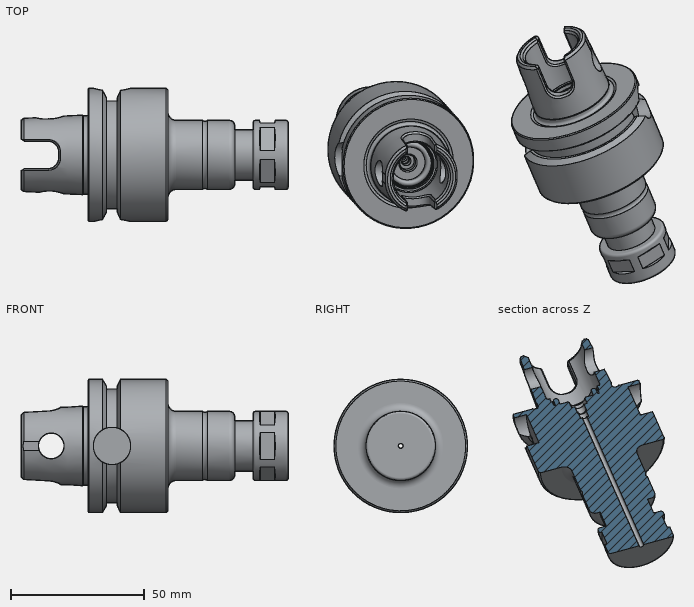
import cadquery as cq
import math


shank_length = 25.0
nose_x = 75.0
body_radius = 25.0

gauge_radius = 14.95
gauge_x = -2.1
taper_slope = 0.05
shank_tip_chamfer = 1.0
shank_tip_chamfer_angle = 40
relief_radius = 14.75
relief_ramp = 0.4
relief_end_x = -0.6

face_relief_outer_radius = 17.1
face_relief_inner_radius = 16.1
face_relief_depth = 0.35
shank_root_fillet = 0.9

flange_edge_chamfer = 0.4
groove_rim_start_x = 5.4
groove_start_x = 7.0
groove_end_x = 10.9
groove_rim_end_x = 12.2
groove_shoulder_radius = 22.4
groove_floor_radius = 21.35
body_end_x = 30.0
body_edge_chamfer = 0.7

barrel_radius = 13.0
barrel_root_fillet = 3.0
barrel_end_x = 55.0
barrel_end_fillet = 2.2
ring_groove_start_x = 42.8
ring_groove_width = 2.0
ring_groove_depth = 0.35
neck_radius = 9.5
nut_start_x = 61.8
nut_radius = 13.0
nut_edge_fillet = 1.0
nut_flat_count = 6
nut_flat_distance = 12.0
nut_flat_start_x = 64.5
nut_flat_end_x = 69.8
nut_flat_cut_height = 2.0
nut_flat_wall_lean = 0.7

bore_radius = 10.5
bore_depth = 22.2
bore_mouth_radius = 12.0
bore_mouth_middle_radius = 11.15
bore_mouth_middle_depth = 0.6
bore_mouth_depth = 1.5
bore_floor_chamfer = 0.4
inner_bore_radius = 9.3
inner_bore_depth = 4.0
inner_bore_step_depth = 2.0
inner_bore_end_radius = 8.9
tube_inner_radius = 6.5
tube_outer_radius = 8.5
tube_length = 3.0
pilot_radius = 3.5
pilot_seat_radius = 3.0
pilot_chamfer = 0.5
pilot_depth = 3.0
jet_seat_radius = 1.75
jet_seat_depth = 3.0
jet_radius = 1.5
jet_depth = 3.0
coolant_radius = 0.85

slot_width = 10.2
slot_depth = 14.0
slot_corner_radius = 4.0
slot_outer_chamfer = 0.7
slot_inner_chamfer = 0.55
slot_mouth_chamfer_length = 1.3
slot_mouth_chamfer_width = 0.8
access_hole_radius = 4.75
access_hole_x = -13.75
relief_hole_radius = 4.65
relief_hole_x = -15.3
tip_flat_width = 3.5
tip_flat_depth = 0.2

pocket_radius = 7.0
pocket_x = 9.0
pocket_floor_y = 20.2


def taper_radius(x):
    """Radius of the taper at a position along the axis."""
    return gauge_radius + taper_slope * (x - gauge_x)


def revolve_profile(sketch):
    """Close a half profile drawn in X (axis) and Y (radius) and turn it about X."""
    return sketch.close().revolve(360, (0, 0, 0), (1, 0, 0))


def make_turned_body():
    """Shank, flange, barrel and neck as one solid of revolution."""
    tip_x = -shank_length
    root_radius = relief_radius + shank_root_fillet
    arc_part = 1 - math.sqrt(0.5)
    root_mid = (
        barrel_root_fillet * arc_part + body_end_x,
        barrel_root_fillet * arc_part + barrel_radius,
    )
    end_mid = (
        barrel_end_x - barrel_end_fillet * arc_part,
        barrel_radius - barrel_end_fillet * arc_part,
    )
    ring_groove_end_x = ring_groove_start_x + ring_groove_width
    sketch = (
        cq.Workplane("XY")
        .moveTo(tip_x, 0)
        .lineTo(tip_x, taper_radius(tip_x))
        .lineTo(gauge_x, gauge_radius)
        .lineTo(gauge_x + relief_ramp, relief_radius)
        .lineTo(relief_end_x, relief_radius)
        .tangentArcPoint((face_relief_depth, root_radius), relative=False)
        .lineTo(face_relief_depth, face_relief_inner_radius)
        .lineTo(0, face_relief_outer_radius)
        .lineTo(0, body_radius - flange_edge_chamfer)
        .lineTo(flange_edge_chamfer, body_radius)
        .lineTo(groove_rim_start_x, body_radius)
        .lineTo(groove_start_x, groove_shoulder_radius)
        .lineTo(groove_start_x, groove_floor_radius)
        .lineTo(groove_end_x, groove_floor_radius)
        .lineTo(groove_end_x, groove_shoulder_radius)
        .lineTo(groove_rim_end_x, body_radius)
        .lineTo(body_end_x - body_edge_chamfer, body_radius)
        .lineTo(body_end_x, body_radius - body_edge_chamfer)
        .lineTo(body_end_x, barrel_radius + barrel_root_fillet)
        .threePointArc(root_mid, (body_end_x + barrel_root_fillet, barrel_radius))
        .lineTo(ring_groove_start_x, barrel_radius)
        .threePointArc(
            (ring_groove_start_x + ring_groove_width / 2, barrel_radius - ring_groove_depth),
            (ring_groove_end_x, barrel_radius),
        )
        .lineTo(barrel_end_x - barrel_end_fillet, barrel_radius)
        .threePointArc(end_mid, (barrel_end_x, barrel_radius - barrel_end_fillet))
        .lineTo(barrel_end_x, neck_radius)
        .lineTo(nut_start_x, neck_radius)
        .lineTo(nut_start_x, 0)
    )
    return revolve_profile(sketch)


def make_nut():
    """Collet nut with six wrench flats whose end walls lean outward."""
    nut = (
        cq.Workplane("YZ", origin=(nut_start_x, 0, 0))
        .circle(nut_radius)
        .extrude(nose_x - nut_start_x)
        .edges()
        .fillet(nut_edge_fillet)
    )
    cut_top = nut_flat_distance + nut_flat_cut_height
    flat_cutter = (
        cq.Workplane("XY", origin=(0, 0, -nut_radius))
        .moveTo(nut_flat_start_x, nut_flat_distance)
        .lineTo(nut_flat_end_x, nut_flat_distance)
        .lineTo(nut_flat_end_x + nut_flat_wall_lean, cut_top)
        .lineTo(nut_flat_start_x - nut_flat_wall_lean, cut_top)
        .close()
        .extrude(2 * nut_radius)
    )
    for index in range(nut_flat_count):
        angle = index * 360 / nut_flat_count
        nut = nut.cut(flat_cutter.rotate((0, 0, 0), (1, 0, 0), angle))
    return nut


def make_shank_bore():
    """Stepped bore of the shank, leaving a round-ended tube standing in its floor."""
    tip_x = -shank_length
    step_x = tip_x + bore_depth
    floor_x = step_x + inner_bore_depth
    tube_wall = tube_outer_radius - tube_inner_radius
    tube_end_x = floor_x - tube_length
    tube_shoulder_x = tube_end_x + tube_wall / 2
    tube_middle_radius = (tube_outer_radius + tube_inner_radius) / 2
    pilot_floor_x = floor_x + pilot_depth
    jet_seat_x = pilot_floor_x + jet_seat_depth
    jet_floor_x = jet_seat_x + jet_depth
    sketch = (
        cq.Workplane("XY")
        .moveTo(tip_x, 0)
        .lineTo(tip_x, bore_radius)
        .lineTo(step_x, bore_radius)
        .lineTo(step_x + bore_floor_chamfer, bore_radius - bore_floor_chamfer)
        .lineTo(step_x + bore_floor_chamfer, inner_bore_radius)
        .lineTo(step_x + inner_bore_step_depth, inner_bore_radius)
        .lineTo(step_x + inner_bore_step_depth, inner_bore_end_radius)
        .lineTo(floor_x, inner_bore_end_radius)
        .lineTo(floor_x, tube_outer_radius)
        .lineTo(tube_shoulder_x, tube_outer_radius)
        .threePointArc((tube_end_x, tube_middle_radius), (tube_shoulder_x, tube_inner_radius))
        .lineTo(floor_x, tube_inner_radius)
        .lineTo(floor_x, pilot_radius)
        .lineTo(floor_x + pilot_chamfer, pilot_seat_radius)
        .lineTo(pilot_floor_x, pilot_seat_radius)
        .lineTo(pilot_floor_x, jet_seat_radius)
        .lineTo(jet_seat_x, jet_seat_radius)
        .lineTo(jet_seat_x, jet_radius)
        .lineTo(jet_floor_x, jet_radius)
        .lineTo(jet_floor_x, coolant_radius)
        .lineTo(nose_x, coolant_radius)
        .lineTo(nose_x, 0)
    )
    return revolve_profile(sketch)


def cut_drive_slots(shank):
    """Slot through both Z sides of the shank tip, chamfered along its inner and outer edges."""
    tip_x = -shank_length
    end_x = tip_x + slot_depth
    slot = (
        cq.Workplane("XY", origin=(tip_x + slot_depth / 2, 0, 0))
        .box(slot_depth, slot_width, 2 * body_radius)
        .edges("|Z and >X")
        .fillet(slot_corner_radius)
    )
    shank = shank.cut(slot)
    margin = 0.2
    for side in (-1, 1):
        for inner_z, outer_z, chamfer in (
            (tube_outer_radius, bore_mouth_radius, slot_inner_chamfer),
            (bore_mouth_radius, body_radius, slot_outer_chamfer),
        ):
            rim_box = cq.selectors.BoxSelector(
                (tip_x + margin, -slot_width, side * inner_z),
                (end_x + margin, slot_width, side * outer_z),
            )
            shank = shank.edges(rim_box).edges("not(|Z)").chamfer(chamfer)
    return shank


def cut_slot_mouths(shank):
    """Bevel the corners where the slot walls meet the shank tip."""
    tip_x = -shank_length
    half_width = slot_width / 2
    mouth = (
        cq.Workplane("XY", origin=(0, 0, -body_radius))
        .moveTo(tip_x, -half_width - slot_mouth_chamfer_width)
        .lineTo(tip_x, half_width + slot_mouth_chamfer_width)
        .lineTo(tip_x + slot_mouth_chamfer_length, half_width)
        .lineTo(tip_x + slot_mouth_chamfer_length, -half_width)
        .close()
        .extrude(2 * body_radius)
    )
    return shank.cut(mouth)


def cut_shank_tip(shank):
    """Chamfer the shank tip outside and open the bore mouth with two cones."""
    tip_x = -shank_length
    chamfer_x = tip_x + shank_tip_chamfer
    chamfer_radius = taper_radius(chamfer_x)
    chamfer_rise = shank_tip_chamfer * math.tan(math.radians(shank_tip_chamfer_angle))
    outer_ring = revolve_profile(
        cq.Workplane("XY")
        .moveTo(tip_x, chamfer_radius - chamfer_rise)
        .lineTo(chamfer_x, chamfer_radius)
        .lineTo(tip_x, chamfer_radius)
    )
    mouth = revolve_profile(
        cq.Workplane("XY")
        .moveTo(tip_x, 0)
        .lineTo(tip_x, bore_mouth_radius)
        .lineTo(tip_x + bore_mouth_middle_depth, bore_mouth_middle_radius)
        .lineTo(tip_x + bore_mouth_depth, bore_radius)
        .lineTo(tip_x + bore_mouth_depth, 0)
    )
    return shank.cut(outer_ring).cut(mouth)


def cut_access_holes(shank):
    """Round hole through both Y sides of the shank, lengthened toward the tip on the +Y side."""
    hole = (
        cq.Workplane("XZ", origin=(access_hole_x, body_radius, 0))
        .circle(access_hole_radius)
        .extrude(2 * body_radius)
    )
    relief_hole = (
        cq.Workplane("XZ", origin=(relief_hole_x, body_radius, 0))
        .circle(relief_hole_radius)
        .extrude(body_radius)
    )
    return shank.cut(hole).cut(relief_hole)


def cut_tip_flats_and_pockets(part):
    """Flats from the shank tip to the access holes and round flange pockets, on both Y sides."""
    tip_x = -shank_length
    flat_cutter = (
        cq.Workplane("XY", origin=(0, 0, -tip_flat_width / 2))
        .moveTo(tip_x, taper_radius(tip_x) - tip_flat_depth)
        .lineTo(access_hole_x, taper_radius(access_hole_x) - tip_flat_depth)
        .lineTo(access_hole_x, gauge_radius)
        .lineTo(tip_x, gauge_radius)
        .close()
        .extrude(tip_flat_width)
    )
    pocket = (
        cq.Workplane("XZ", origin=(pocket_x, pocket_floor_y, 0))
        .circle(pocket_radius)
        .extrude(-body_radius)
    )
    for cutter in (flat_cutter, pocket):
        part = part.cut(cutter).cut(cutter.mirror("XZ"))
    return part


result = make_turned_body().union(make_nut()).cut(make_shank_bore())
result = cut_drive_slots(result)
result = cut_slot_mouths(result)
result = cut_shank_tip(result)
result = cut_access_holes(result)
result = cut_tip_flats_and_pockets(result)